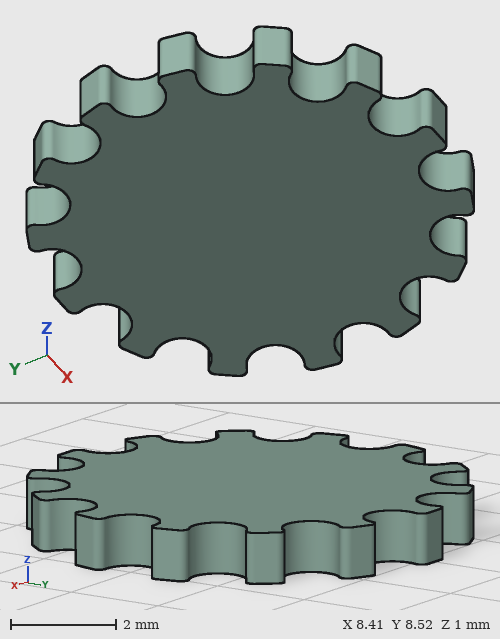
import cadquery as cq
import math

TOOTH_COUNT = 14
ACROSS_FLATS = 8.52
THICKNESS = 1.0
GAP_RADIUS = 0.55
GAP_CENTER_RADIUS = 4.0
TIP_FILLET = 0.15

PITCH_ANGLE = 360 / TOOTH_COUNT
FIRST_TOOTH_ANGLE = 90


def make_blank():
    """Polygonal disc with one flat side for each tooth tip."""
    corner_diameter = ACROSS_FLATS / math.cos(math.pi / TOOTH_COUNT)
    polygon = cq.Workplane("XY").polygon(TOOTH_COUNT, corner_diameter)
    disc = polygon.extrude(THICKNESS)
    corner_angle = FIRST_TOOTH_ANGLE + PITCH_ANGLE / 2
    return disc.rotate((0, 0, 0), (0, 0, 1), corner_angle)


def make_gaps():
    """Ring of round cutters midway between the teeth."""
    return (
        cq.Workplane("XY")
        .polarArray(GAP_CENTER_RADIUS, FIRST_TOOTH_ANGLE + PITCH_ANGLE / 2, 360, TOOTH_COUNT)
        .circle(GAP_RADIUS)
        .extrude(THICKNESS)
    )


wheel = make_blank().cut(make_gaps())
result = wheel.edges("|Z").fillet(TIP_FILLET)